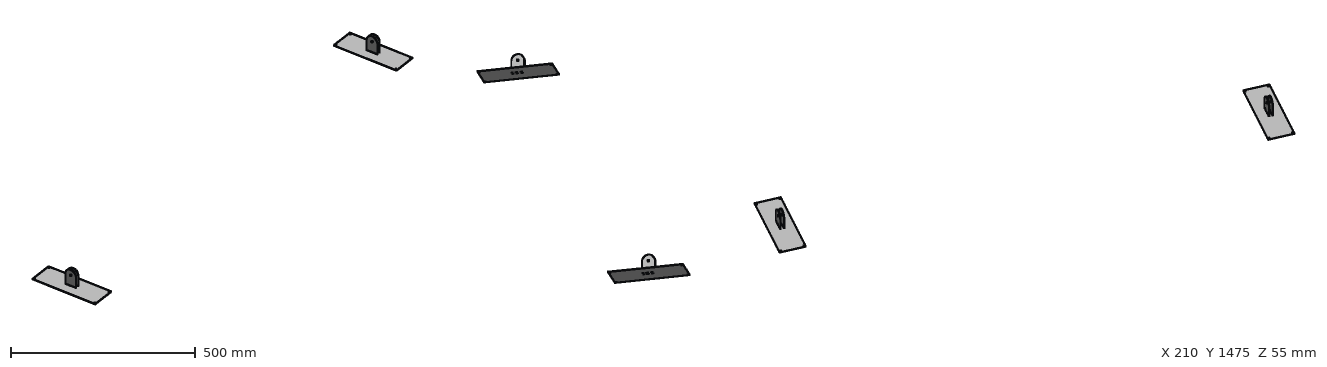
import cadquery as cq

overall_length = 1475.0
overall_height = 55.0

plate_length = 210.0
plate_width = 75.0
plate_thickness = 2.5
corner_hole_diameter = 2.2
corner_hole_inset = 5.0

lug_width = 35.0
lug_thickness = 2.5
lug_gap = 8.0
lug_hole_diameter = 5.0

lug_radius = lug_width / 2
lug_hole_height = overall_height - lug_radius
lug_offset = (lug_gap + lug_thickness) / 2
bracket_offset = (overall_length - plate_width) / 2


def make_plate():
    """Flat rectangular plate resting on Z = 0, with a small through hole near each corner."""
    return (
        cq.Workplane("XY")
        .rect(plate_length, plate_width)
        .extrude(plate_thickness)
        .faces(">Z")
        .workplane()
        .rect(plate_length - 2 * corner_hole_inset, plate_width - 2 * corner_hole_inset, forConstruction=True)
        .vertices()
        .hole(corner_hole_diameter)
    )


def make_lug(center_y):
    """Upright lug with a semicircular top and a concentric cross hole, centred on center_y."""
    return (
        cq.Workplane("XZ", origin=(0, center_y + lug_thickness / 2, 0))
        .moveTo(-lug_radius, plate_thickness)
        .lineTo(lug_radius, plate_thickness)
        .lineTo(lug_radius, lug_hole_height)
        .threePointArc((0, overall_height), (-lug_radius, lug_hole_height))
        .close()
        .moveTo(0, lug_hole_height)
        .circle(lug_hole_diameter / 2)
        .extrude(lug_thickness)
    )


def make_bracket(center_y):
    """One solid bracket: a plate with two parallel lugs at its middle."""
    bracket = make_plate()
    for side in (-1, 1):
        bracket = bracket.union(make_lug(side * lug_offset))
    return bracket.translate((0, center_y, 0))


brackets = [make_bracket(side * bracket_offset) for side in (-1, 1)]
result = cq.Compound.makeCompound([bracket.solids().val() for bracket in brackets])